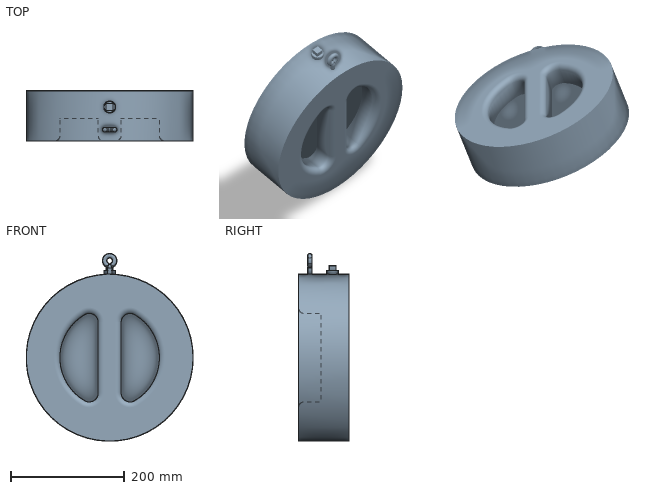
import cadquery as cq
import math

overall_height = 331.5

body_diameter = 295.0
body_width = 89.0
body_radius = body_diameter / 2
front_y = -body_width / 2

pocket_radius = 87.8
pocket_corner_radius = 16.0
pocket_rim_radius = 10.0
pocket_depth = 39.8
half_web = 20.2

plug_y = 15.5
collar_diameter = 21.0
collar_height = 6.5
collar_chamfer = 0.5
head_side = 12.3
head_height = 8.3

eye_y = -24.5
bar_diameter = 8.0
ring_diameter = 17.5
ring_gap_half_angle = 17.0
neck_height = 6.5
neck_tip_diameter = 3.5
bar_radius = bar_diameter / 2
ring_radius = ring_diameter / 2
ring_z = overall_height - body_radius - ring_radius - bar_radius
post_top = ring_z - ring_radius - bar_radius

root_depth = 3.3
root_z = body_radius - root_depth


def make_body():
    return cq.Workplane("XZ").circle(body_radius).extrude(body_width / 2, both=True)


def make_pocket():
    """Cutter for the +X pocket: a circular segment with rounded corners."""
    chord = math.sqrt(pocket_radius**2 - half_web**2)
    return (
        cq.Workplane("XZ", origin=(0, front_y, 0))
        .moveTo(half_web, -chord)
        .threePointArc((pocket_radius, 0), (half_web, chord))
        .close()
        .extrude(-pocket_depth)
        .edges("|Y")
        .fillet(pocket_corner_radius)
    )


def round_pocket_rims(part):
    """Round the pocket edges on the front face, leaving the outer edge of the disc sharp."""
    margin = 3.3
    reach = pocket_radius + margin
    rim_box = cq.selectors.BoxSelector(
        (-reach, front_y - margin, -reach),
        (reach, front_y + margin, reach),
        boundingbox=True,
    )
    return part.faces("<Y").edges(rim_box).fillet(pocket_rim_radius)


def make_plug():
    collar_top = body_radius + collar_height
    collar = (
        cq.Workplane("XY", origin=(0, plug_y, root_z))
        .circle(collar_diameter / 2)
        .extrude(collar_top - root_z)
        .faces(">Z")
        .chamfer(collar_chamfer)
    )
    head = (
        cq.Workplane("XY", origin=(0, plug_y, collar_top))
        .rect(head_side, head_side)
        .extrude(head_height)
    )
    return collar.union(head)


def make_eye():
    post = (
        cq.Workplane("XY", origin=(0, eye_y, root_z))
        .circle(bar_radius)
        .extrude(post_top - root_z)
    )
    neck = (
        cq.Workplane("XY", origin=(0, eye_y, post_top))
        .circle(bar_radius)
        .workplane(offset=neck_height)
        .circle(neck_tip_diameter / 2)
        .loft()
    )
    ring_centre = (0, eye_y, ring_z)
    ring = (
        cq.Workplane("YZ", origin=ring_centre)
        .center(0, -ring_radius)
        .circle(bar_radius)
        .revolve(360 - 2 * ring_gap_half_angle, (0, ring_radius), (1, ring_radius))
        .rotate(ring_centre, (0, eye_y + 3.3, ring_z), ring_gap_half_angle)
    )
    return post.union(neck).union(ring)


pocket = make_pocket()
body = make_body().cut(pocket).cut(pocket.mirror("YZ"))
result = round_pocket_rims(body).union(make_plug()).union(make_eye())